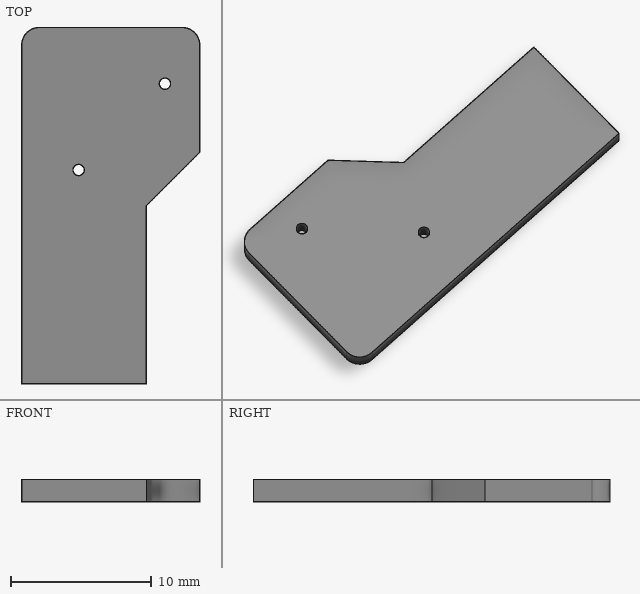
import cadquery as cq

width = 12.7
length = 25.4
thickness = 1.6

tail_width = 8.9
tail_length = 12.7
shoulder = width - tail_width

corner_radius = 1.27

hole_diameter = 0.8
inner_hole = (4.06, 15.25)
hole_step = 6.15
outer_hole = (inner_hole[0] + hole_step, inner_hole[1] + hole_step)

plate = (
    cq.Workplane("XY")
    .polyline([
        (0, 0),
        (tail_width, 0),
        (tail_width, tail_length),
        (width, tail_length + shoulder),
        (width, length),
        (0, length),
    ])
    .close()
    .extrude(thickness)
)

plate = plate.faces(">Y").edges("|Z").fillet(corner_radius)

result = (
    plate.faces(">Z")
    .workplane(origin=(0, 0, thickness))
    .pushPoints([inner_hole, outer_hole])
    .hole(hole_diameter)
)